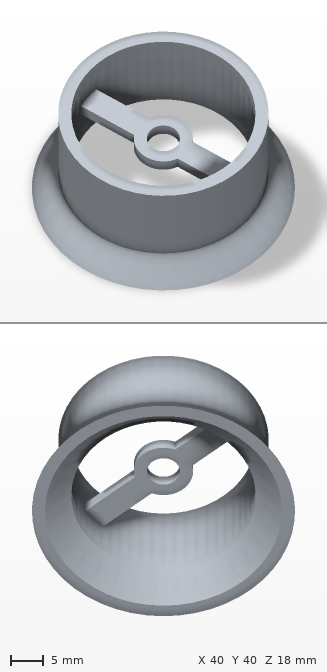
import cadquery as cq

base_diameter = 40.0
tube_diameter = 32.0
bore_diameter = 28.0
total_height = 18.0
flare_height = 4.0

hub_diameter = 9.0
hub_hole_diameter = 5.0
bar_width = 4.0
bar_thickness = 2.0
bar_top = 12.0
bar_bottom = bar_top - bar_thickness

base_radius = base_diameter / 2
tube_radius = tube_diameter / 2
bore_radius = bore_diameter / 2
wall = tube_radius - bore_radius


def flared_tube():
    """Revolve the wall: a straight tube above a skirt of equal radial thickness."""
    profile = [
        (bore_radius, total_height),
        (tube_radius, total_height),
        (tube_radius, flare_height),
        (base_radius, 0),
        (base_radius - wall, 0),
        (bore_radius, flare_height),
    ]
    return cq.Workplane("XZ").polyline(profile).close().revolve(360, (0, 0), (0, 1))


def hub_and_bar():
    """Pierced hub on a bar along X whose ends run into the tube wall."""
    bar_length = bore_diameter + wall
    plane = cq.Workplane("XY").workplane(offset=bar_bottom)
    bar = plane.rect(bar_length, bar_width).extrude(bar_thickness)
    hub = plane.circle(hub_diameter / 2).extrude(bar_thickness)
    hole = plane.circle(hub_hole_diameter / 2).extrude(bar_thickness)
    return bar.union(hub).cut(hole)


result = flared_tube().union(hub_and_bar())